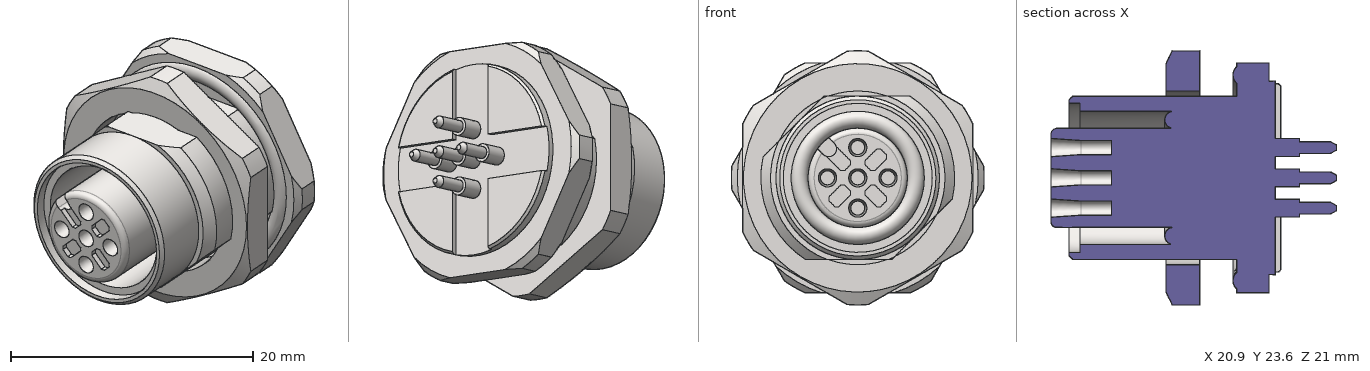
import cadquery as cq
import math


SHELL_FRONT = 1.5
THREAD_FRONT = 6.5
NUT_FRONT = 9.5
NUT_THICKNESS = 2.8
FLANGE_FRONT = 15.33
FLANGE_THICKNESS = 2.7
RIM_LENGTH = 0.97
RIM_NOTCH_DEPTH = 0.47
PIN_SHOULDER = 20.53
PIN_END = 23.6
FLANGE_REAR = FLANGE_FRONT + FLANGE_THICKNESS

SHELL_RADIUS = 13.5 / 2
SHELL_CHAMFER = 0.3
THREAD_RADIUS = 16 / 2
THREAD_CHAMFER = 0.8
FLAT_DISTANCE = SHELL_RADIUS
FLAT_ANGLES = (90, 135, 270, 315)
MOUTH_RADIUS = 12.3 / 2
MOUTH_DEPTH = 0.9
SOCKET_RADIUS = 11 / 2
SOCKET_FLOOR = 10.0
SOCKET_RING_HEIGHT = 0.6

HEX_ACROSS_FLATS = 19.0
NUT_CORNER_RADIUS = 21 / 2
NUT_BORE_RADIUS = 7.17
NUT_CHAMFER_LENGTH = 0.5
NUT_FACE_RADIUS = 9.43
FLANGE_CORNER_RADIUS = 20.89 / 2
FLANGE_CHAMFER = 0.5

SEAL_RING_RADIUS = 8.5
SEAL_SECTION_RADIUS = 0.9
SEAL_PROJECTION = 0.3

RIM_RADIUS = THREAD_RADIUS
RIM_CHAMFER = 0.2
RIM_NOTCH_WIDTH = 3.75

INSERT_RADIUS = 8.2 / 2
INSERT_FILLET = 0.5
KEYWAY_ANGLE = 135
KEYWAY_WIDTH = 1.3
KEYWAY_FLOOR = 2.74
POCKET_ANGLES = (45, 135, 225, 315)
POCKET_INNER = 1.19
POCKET_OUTER = 3.02
POCKET_WIDTH = 1.15
POCKET_CHAMFER = 0.22
POCKET_DEPTH = 0.5

CONTACT_OFFSET = 2.5
CONTACTS = [(0, 0)] + [
    (CONTACT_OFFSET * math.cos(math.radians(a)), CONTACT_OFFSET * math.sin(math.radians(a)))
    for a in (0, 90, 180, 270)
]
HOLE_RADIUS = 1.15 / 2
HOLE_MOUTH_RADIUS = 1.5 / 2
HOLE_TAPER_LENGTH = 2.5
HOLE_DEPTH = 5.0
PIN_BASE_RADIUS = 1.5 / 2
PIN_RADIUS = 1.0 / 2
PIN_TIP_RADIUS = 0.22
PIN_TIP_LENGTH = 0.5


def section(y):
    """Sketch plane across the axis: local x is X, local y is Z, extrusion goes toward -Y."""
    return cq.Workplane("XZ", origin=(0, y, 0))


def prism(sketch, length):
    """Extrude a cross-axis sketch toward +Y."""
    return sketch.extrude(-length)


def turned(points):
    """Revolve a closed (radius, y) outline about the Y axis."""
    return cq.Workplane("XY").polyline(points).close().revolve(360, (0, 0, 0), (0, 1, 0))


def about_axis(solid, angle):
    """Turn a solid built on +X so that it sits at the given angle from X toward Z."""
    return solid.rotate((0, 0, 0), (0, 1, 0), -angle)


def make_thread_barrel():
    barrel = turned([
        (0, THREAD_FRONT),
        (THREAD_RADIUS - THREAD_CHAMFER, THREAD_FRONT),
        (THREAD_RADIUS, THREAD_FRONT + THREAD_CHAMFER),
        (THREAD_RADIUS, FLANGE_REAR),
        (0, FLANGE_REAR),
    ])
    length = FLANGE_REAR - THREAD_FRONT
    for angle in FLAT_ANGLES:
        sketch = section(THREAD_FRONT).center(FLAT_DISTANCE + THREAD_RADIUS / 2, 0)
        waste = prism(sketch.rect(THREAD_RADIUS, 2 * THREAD_RADIUS), length)
        barrel = barrel.cut(about_axis(waste, angle))
    return barrel


def make_shell():
    return turned([
        (0, SHELL_FRONT),
        (SHELL_RADIUS - SHELL_CHAMFER, SHELL_FRONT),
        (SHELL_RADIUS, SHELL_FRONT + SHELL_CHAMFER),
        (SHELL_RADIUS, FLANGE_REAR),
        (0, FLANGE_REAR),
    ])


def make_socket():
    """Space around the insert, ending in a rounded ring seal at its floor."""
    ring_middle = ((INSERT_RADIUS + SOCKET_RADIUS) / 2, SOCKET_FLOOR - SOCKET_RING_HEIGHT)
    step = SHELL_FRONT + MOUTH_DEPTH
    return (
        cq.Workplane("XY")
        .moveTo(INSERT_RADIUS, SHELL_FRONT)
        .lineTo(MOUTH_RADIUS, SHELL_FRONT)
        .lineTo(MOUTH_RADIUS, step)
        .lineTo(SOCKET_RADIUS, step)
        .lineTo(SOCKET_RADIUS, SOCKET_FLOOR)
        .threePointArc(ring_middle, (INSERT_RADIUS, SOCKET_FLOOR))
        .close()
        .revolve(360, (0, 0, 0), (0, 1, 0))
    )


def make_hexagon(y, length, first_corner_angle):
    corner_diameter = HEX_ACROSS_FLATS / math.cos(math.pi / 6)
    return about_axis(prism(section(y).polygon(6, corner_diameter), length), first_corner_angle)


def make_nut():
    rear = NUT_FRONT + NUT_THICKNESS
    envelope = turned([
        (NUT_BORE_RADIUS, NUT_FRONT),
        (NUT_FACE_RADIUS, NUT_FRONT),
        (NUT_CORNER_RADIUS, NUT_FRONT + NUT_CHAMFER_LENGTH),
        (NUT_CORNER_RADIUS, rear),
        (NUT_BORE_RADIUS, rear),
    ])
    return make_hexagon(NUT_FRONT, NUT_THICKNESS, 90).intersect(envelope)


def make_flange():
    face_radius = FLANGE_CORNER_RADIUS - FLANGE_CHAMFER
    envelope = turned([
        (0, FLANGE_FRONT),
        (face_radius, FLANGE_FRONT),
        (FLANGE_CORNER_RADIUS, FLANGE_FRONT + FLANGE_CHAMFER),
        (FLANGE_CORNER_RADIUS, FLANGE_REAR - FLANGE_CHAMFER),
        (face_radius, FLANGE_REAR),
        (0, FLANGE_REAR),
    ])
    return make_hexagon(FLANGE_FRONT, FLANGE_THICKNESS, 0).intersect(envelope)


def make_seal_ring():
    centre_y = FLANGE_FRONT - SEAL_PROJECTION + SEAL_SECTION_RADIUS
    return (
        cq.Workplane("XY")
        .center(SEAL_RING_RADIUS, centre_y)
        .circle(SEAL_SECTION_RADIUS)
        .revolve(360, (-SEAL_RING_RADIUS, 0, 0), (-SEAL_RING_RADIUS, 1, 0))
    )


def make_rear_rim():
    """Collar behind the flange, crossed by two slots that notch its end on all four sides."""
    rim = prism(section(FLANGE_REAR).circle(RIM_RADIUS), RIM_LENGTH).faces(">Y").chamfer(RIM_CHAMFER)
    notch_floor = FLANGE_REAR + RIM_LENGTH - RIM_NOTCH_DEPTH
    for size in ((2 * RIM_RADIUS, RIM_NOTCH_WIDTH), (RIM_NOTCH_WIDTH, 2 * RIM_RADIUS)):
        rim = rim.cut(prism(section(notch_floor).rect(*size), RIM_NOTCH_DEPTH))
    return rim


def make_insert():
    return prism(section(0).circle(INSERT_RADIUS), SOCKET_FLOOR).faces("<Y").edges().fillet(INSERT_FILLET)


def make_keyway():
    """Round-bottomed groove along the side of the insert."""
    round_centre = KEYWAY_FLOOR + KEYWAY_WIDTH / 2
    length = SOCKET_FLOOR - SOCKET_RING_HEIGHT
    round_bottom = prism(section(0).center(round_centre, 0).circle(KEYWAY_WIDTH / 2), length)
    opening_length = INSERT_RADIUS - round_centre
    opening = section(0).center(round_centre + opening_length / 2, 0).rect(opening_length, KEYWAY_WIDTH)
    return about_axis(round_bottom.union(prism(opening, length)), KEYWAY_ANGLE)


def make_pocket(angle):
    """Shallow recess between two contacts; the one at the keyway runs out into it."""
    outer = INSERT_RADIUS if angle == KEYWAY_ANGLE else POCKET_OUTER
    length = outer - POCKET_INNER
    sketch = section(0).center((outer + POCKET_INNER) / 2, 0).rect(length, POCKET_WIDTH)
    pocket = prism(sketch, POCKET_DEPTH)
    corners = "|Y and <X" if angle == KEYWAY_ANGLE else "|Y"
    return about_axis(pocket.edges(corners).chamfer(POCKET_CHAMFER), angle)


def make_contact_hole():
    """Socket hole that tapers from its mouth to the contact bore."""
    return turned([
        (0, 0),
        (HOLE_MOUTH_RADIUS, 0),
        (HOLE_RADIUS, HOLE_TAPER_LENGTH),
        (HOLE_RADIUS, HOLE_DEPTH),
        (0, HOLE_DEPTH),
    ])


def make_pin():
    return turned([
        (0, FLANGE_REAR),
        (PIN_BASE_RADIUS, FLANGE_REAR),
        (PIN_BASE_RADIUS, PIN_SHOULDER),
        (PIN_RADIUS, PIN_SHOULDER),
        (PIN_RADIUS, PIN_END - PIN_TIP_LENGTH),
        (PIN_TIP_RADIUS, PIN_END),
        (0, PIN_END),
    ])


result = make_shell().union(make_thread_barrel()).cut(make_socket())
result = result.union(make_nut()).union(make_flange()).union(make_seal_ring()).union(make_rear_rim())
result = result.union(make_insert()).cut(make_keyway())
for pocket_angle in POCKET_ANGLES:
    result = result.cut(make_pocket(pocket_angle))
for x, z in CONTACTS:
    result = result.cut(make_contact_hole().translate((x, 0, z)))
    result = result.union(make_pin().translate((x, 0, z)))